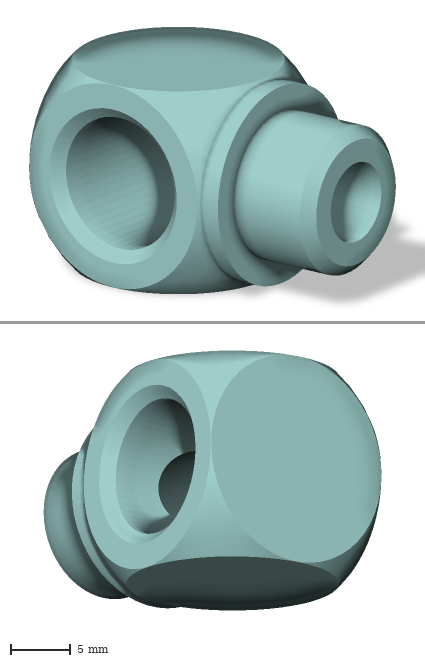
import cadquery as cq
import math

body_size = 18.0
face_circle_diameter = 17.96
collar_diameter = 17.5
spigot_diameter = 13.0
spigot_chamfer = 1.0
collar_end_x = 11.0
spigot_end_x = 19.0
bore_diameter = 11.6
bore_chamfer = 1.0
passage_diameter = 7.0

half_size = body_size / 2
sphere_radius = math.hypot(half_size, face_circle_diameter / 2)
collar_start_x = math.sqrt(sphere_radius**2 - (collar_diameter / 2) ** 2)


def x_cylinder(diameter, start_x, end_x):
    """Cylinder on the X axis between two X positions."""
    return cq.Workplane("YZ", origin=(start_x, 0, 0)).circle(diameter / 2).extrude(end_x - start_x)


def make_body():
    """Square block with all corners turned to a common sphere."""
    block_length = half_size + collar_start_x
    block = cq.Workplane("XY").box(block_length, body_size, body_size)
    block = block.translate((collar_start_x - block_length / 2, 0, 0))
    return block.intersect(cq.Workplane("XY").sphere(sphere_radius))


def make_spigot():
    """Round collar and the chamfered spigot beyond it."""
    collar = x_cylinder(collar_diameter, 0, collar_end_x)
    spigot = x_cylinder(spigot_diameter, 0, spigot_end_x)
    spigot = spigot.faces(">X").chamfer(spigot_chamfer)
    return collar.union(spigot)


def make_bore():
    """Cross bore along Y, chamfered at both mouths."""
    bore_radius = bore_diameter / 2
    mouth_radius = bore_radius + bore_chamfer
    chamfer_start_y = half_size - bore_chamfer
    profile = [
        (0, -half_size),
        (mouth_radius, -half_size),
        (bore_radius, -chamfer_start_y),
        (bore_radius, chamfer_start_y),
        (mouth_radius, half_size),
        (0, half_size),
    ]
    return cq.Workplane("XY").polyline(profile).close().revolve(360, (0, 0, 0), (0, 1, 0))


def make_passage():
    """Passage from the cross bore out through the end of the spigot."""
    return x_cylinder(passage_diameter, 0, spigot_end_x)


result = make_body().union(make_spigot()).cut(make_bore()).cut(make_passage())